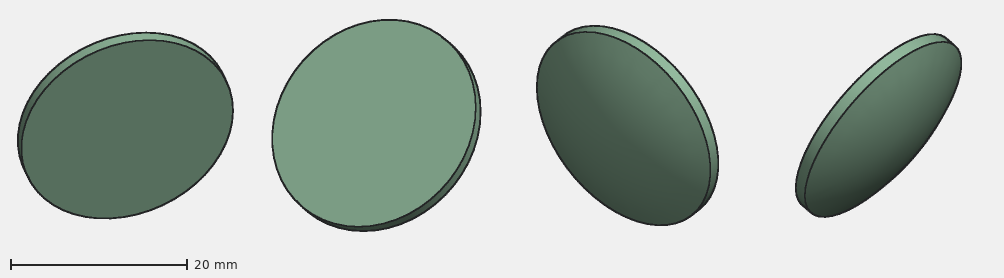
import cadquery as cq

diameter = 25.05
thickness = 4.38
rim_width = 1.48

radius = diameter / 2
dome_height = thickness - rim_width
sphere_radius = (radius**2 + dome_height**2) / (2 * dome_height)

mid_height = radius / 2
sphere_center_x = sphere_radius - thickness
mid_x = sphere_center_x - (sphere_radius**2 - mid_height**2) ** 0.5

profile = (
    cq.Workplane("XY")
    .moveTo(-thickness, 0)
    .threePointArc((mid_x, mid_height), (-rim_width, radius))
    .lineTo(0, radius)
    .lineTo(0, 0)
    .close()
)

result = profile.revolve(360, (0, 0, 0), (1, 0, 0))